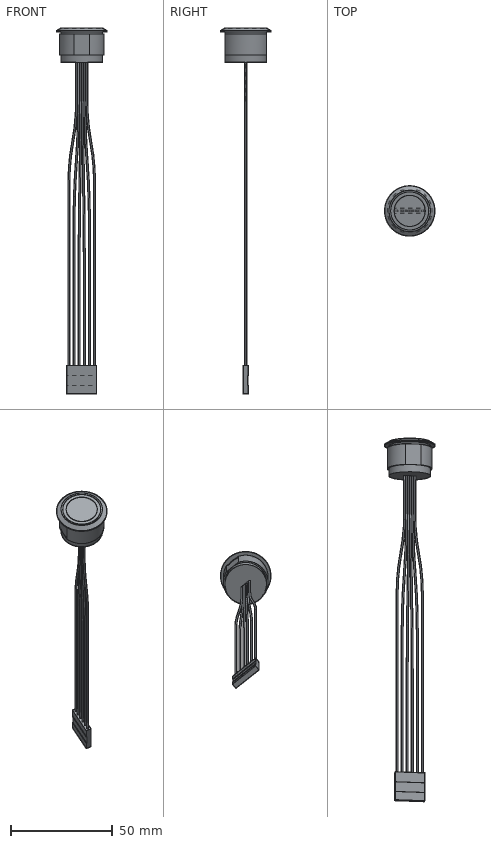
import cadquery as cq

TOTAL_HEIGHT = 181.0

FLANGE_DIAMETER = 25.0
FACE_DIAMETER = 20.5
BEVEL_HEIGHT = 1.35
RIM_HEIGHT = 0.5
GROOVE_DIAMETER = 18.8
GROOVE_DEPTH = 0.2
CAP_DIAMETER = 15.4

BUTTON_HEIGHT = 17.0
BARREL_DIAMETER = 20.6
COLLAR_DIAMETER = 22.0
COLLAR_HEIGHT = 10.5
COLLAR_TOP_DROP = 2.9

WIRE_COUNT = 6
WIRE_DIAMETER = 1.0
RIBBON_PITCH = 1.01
WEB_THICKNESS = 0.4
FAN_PITCH = 2.5
RIBBON_LENGTH = 19.2
INNER_FAN_LENGTH = 79.6
FAN_LENGTH_STEP = 19.7

CONNECTOR_WIDTH = 14.8
CONNECTOR_THICKNESS = 2.7
CONNECTOR_HEIGHT = 14.1
NOTCH_DEPTH = 0.27
NOTCH_HEIGHT = 4.9
NOTCH_BASE = 4.2

button_base = TOTAL_HEIGHT - BUTTON_HEIGHT
rim_base = TOTAL_HEIGHT - BEVEL_HEIGHT - RIM_HEIGHT
collar_base = TOTAL_HEIGHT - COLLAR_TOP_DROP - COLLAR_HEIGHT


def disc(diameter, height, base):
    """Upright cylinder standing at height base."""
    return cq.Workplane("XY", origin=(0, 0, base)).circle(diameter / 2).extrude(height)


def make_flange():
    """Bevelled flange with a thin rim."""
    profile = [
        (0, rim_base),
        (FLANGE_DIAMETER / 2, rim_base),
        (FLANGE_DIAMETER / 2, rim_base + RIM_HEIGHT),
        (FACE_DIAMETER / 2, TOTAL_HEIGHT),
        (0, TOTAL_HEIGHT),
    ]
    return cq.Workplane("XZ").polyline(profile).close().revolve(360, (0, 0, 0), (0, 1, 0))


def make_collar():
    """Round collar with a flat on each Y side, level with the barrel."""
    collar = disc(COLLAR_DIAMETER, COLLAR_HEIGHT, collar_base)
    slab = cq.Workplane("XY", origin=(0, 0, collar_base)).rect(COLLAR_DIAMETER, BARREL_DIAMETER)
    return collar.intersect(slab.extrude(COLLAR_HEIGHT))


def make_button():
    """Flange, neck, collar and lower barrel in one piece, with a shallow groove around the cap."""
    collar_top = collar_base + COLLAR_HEIGHT
    neck = disc(BARREL_DIAMETER, rim_base - collar_top, collar_top)
    lower_barrel = disc(BARREL_DIAMETER, collar_base - button_base, button_base)
    groove_floor = TOTAL_HEIGHT - GROOVE_DEPTH
    cap = disc(CAP_DIAMETER, GROOVE_DEPTH, groove_floor)
    groove = disc(GROOVE_DIAMETER, GROOVE_DEPTH, groove_floor).cut(cap)
    return make_flange().union(neck).union(make_collar()).union(lower_barrel).cut(groove)


def make_wire(position):
    """Wire that runs straight in the ribbon, bends out through two tangent arcs and runs straight again.

    position counts pitches from the middle of the ribbon, so the inner pair sits half a pitch out.
    """
    x_top = position * RIBBON_PITCH
    x_bottom = position * FAN_PITCH
    pairs_inside = abs(position) - 0.5
    fan_length = INNER_FAN_LENGTH - pairs_inside * FAN_LENGTH_STEP
    fan_top = button_base - RIBBON_LENGTH
    fan_base = fan_top - fan_length
    bend = ((x_top + x_bottom) / 2, (fan_top + fan_base) / 2)
    path = (
        cq.Workplane("XZ")
        .moveTo(x_top, button_base)
        .lineTo(x_top, fan_top)
        .tangentArcPoint(bend, relative=False)
        .tangentArcPoint((x_bottom, fan_base), relative=False)
        .lineTo(x_bottom, CONNECTOR_HEIGHT)
    )
    return cq.Workplane("XY", origin=(x_top, 0, button_base)).circle(WIRE_DIAMETER / 2).sweep(path)


def make_cable():
    """Wires joined side by side by a thin web along the straight ribbon, free below it."""
    first = -(WIRE_COUNT - 1) / 2
    wires = [make_wire(first + number) for number in range(WIRE_COUNT)]
    web_width = (WIRE_COUNT - 1) * RIBBON_PITCH
    cable = cq.Workplane("XY", origin=(0, 0, button_base - RIBBON_LENGTH)).box(
        web_width, WEB_THICKNESS, RIBBON_LENGTH, centered=(True, True, False)
    )
    for wire in wires:
        cable = cable.union(wire)
    return cable


def make_connector():
    """Flat block at the foot of the cable, with a wide shallow notch across its +Y face."""
    block = cq.Workplane("XY").box(
        CONNECTOR_WIDTH, CONNECTOR_THICKNESS, CONNECTOR_HEIGHT, centered=(True, True, False)
    )
    notch_floor = CONNECTOR_THICKNESS / 2 - NOTCH_DEPTH
    notch = cq.Workplane("XY", origin=(0, notch_floor, NOTCH_BASE)).box(
        CONNECTOR_WIDTH, NOTCH_DEPTH, NOTCH_HEIGHT, centered=(True, False, False)
    )
    return block.cut(notch)


button = make_button()
cable = make_cable()
connector = make_connector()

result = cq.Compound.makeCompound([button.solids().val(), cable.solids().val(), connector.solids().val()])